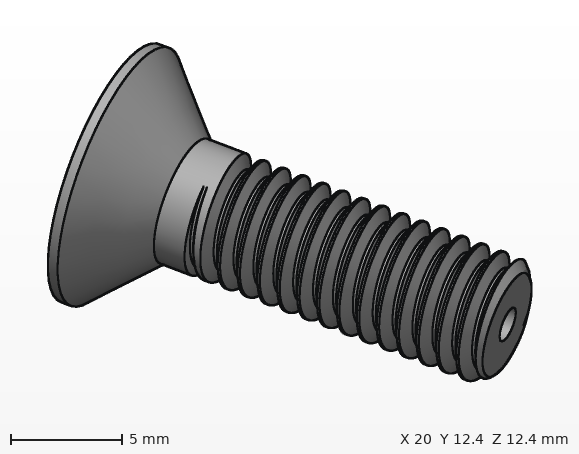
import cadquery as cq
import math

length = 20.0
head_radius = 6.2
rim_length = 0.5
shank_radius = 3.0
neck_x = 3.72
tip_chamfer = 0.5
hex_across_flats = 4.0
hex_depth = 1.4
bore_diameter = 1.6

pitch = 1.0
thread_depth = 0.62
flank_angle = 30.0
groove_width = pitch * 7 / 8
root_width = groove_width - 2 * thread_depth * math.tan(math.radians(flank_angle))
cutter_overlap = 0.05

start_angle = 110.0
full_depth_angle = 270.0
groove_x_at_zero = 5.0
runout_sections = 7
turn_sections = 17


def make_blank():
    outline = [
        (0, 0),
        (0, head_radius),
        (rim_length, head_radius),
        (neck_x, shank_radius),
        (length - tip_chamfer, shank_radius),
        (length, shank_radius - tip_chamfer),
        (length, 0),
    ]
    return cq.Workplane("XY").polyline(outline).close().revolve(360, (0, 0, 0), (1, 0, 0))


def groove_profile(angle, depth):
    """Trapezoid across the groove at one angle, with the axis along local Z."""
    centre = groove_x_at_zero + pitch * angle / 360
    outer_half = groove_width / 2 + cutter_overlap * math.tan(math.radians(flank_angle))
    root_half = root_width / 2
    root_radius = shank_radius - depth
    outer_radius = root_radius + thread_depth + cutter_overlap
    corners = [
        (root_radius, centre - root_half),
        (outer_radius, centre - outer_half),
        (outer_radius, centre + outer_half),
        (root_radius, centre + root_half),
    ]
    points = [cq.Vector(r, 0, along) for r, along in corners]
    wire = cq.Wire.makePolygon(points, close=True)
    return wire.rotate(cq.Vector(0, 0, 0), cq.Vector(0, 0, 1), angle)


def make_groove(first_angle, last_angle, first_depth, sections):
    """Groove cutter between two angles, ending at the full thread depth."""
    profiles = []
    for i in range(sections):
        share = i / (sections - 1)
        angle = first_angle + share * (last_angle - first_angle)
        depth = first_depth + share * (thread_depth - first_depth)
        profiles.append(groove_profile(angle, depth))
    return cq.Solid.makeLoft(profiles)


def cut_thread(body):
    screw_axis = cq.Location(cq.Plane((0, 0, 0), xDir=(0, 1, 0), normal=(1, 0, 0)))
    cutters = [make_groove(start_angle, full_depth_angle, 0, runout_sections)]

    full_depth_x = groove_x_at_zero + pitch * full_depth_angle / 360
    turns = math.ceil((length + pitch - full_depth_x) / pitch)
    for turn in range(turns):
        turn_start = full_depth_angle + 360 * turn
        cutters.append(make_groove(turn_start, turn_start + 360, thread_depth, turn_sections))

    for cutter in cutters:
        body = body.cut(cq.Workplane(obj=cutter.moved(screw_axis)))
    return body


def cut_drive(body):
    head_face = cq.Workplane("YZ")
    across_corners = hex_across_flats / math.cos(math.radians(30))
    socket = head_face.transformed(rotate=(0, 0, 30)).polygon(6, across_corners).extrude(hex_depth)
    bore = head_face.circle(bore_diameter / 2).extrude(length)
    return body.cut(socket).cut(bore)


result = cut_drive(cut_thread(make_blank()))